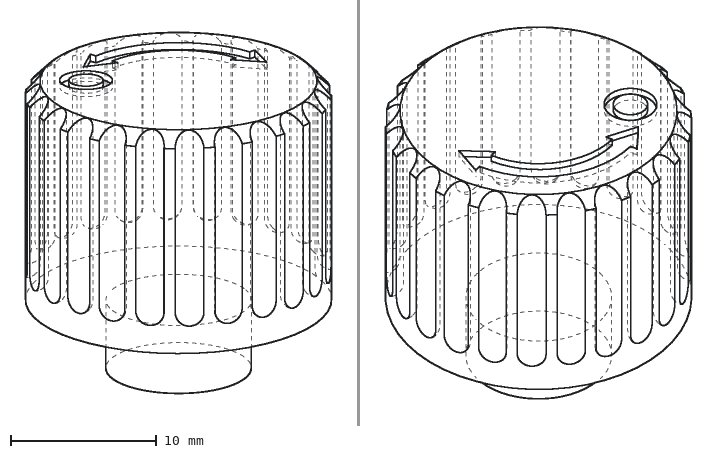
import cadquery as cq
import math

head_diameter = 21.0
total_height = 21.0
shaft_diameter = 10.0
shaft_length = 5.0
rim_chamfer = 1.0

flute_count = 24
flute_radius = 0.99
flute_floor_height = 2.0

engraving_depth = 0.5
arrow_mid_radius = 6.75
arrow_band_width = 1.5
arrow_head_width = 2.5
ring_center = (-4.91, -4.01)
ring_outer_radius = 1.8
ring_inner_radius = 1.18

head_radius = head_diameter / 2
head_height = total_height - shaft_length
engraving_floor = total_height - engraving_depth


def make_body():
    """Shaft standing on Z = 0 with the chamfered cylindrical head above it."""
    shaft = cq.Workplane("XY").circle(shaft_diameter / 2).extrude(shaft_length)
    head = (
        cq.Workplane("XY", origin=(0, 0, shaft_length))
        .circle(head_radius)
        .extrude(head_height)
        .faces(">Z")
        .chamfer(rim_chamfer)
    )
    return shaft.union(head)


def make_flute():
    """Round-bottomed cutter centred on the head surface at +X, open at the top."""
    end_center = (head_radius, 0, shaft_length + flute_floor_height + flute_radius)
    groove = (
        cq.Workplane("XY", origin=end_center)
        .circle(flute_radius)
        .extrude(total_height - end_center[2])
    )
    rounded_end = cq.Workplane("XY", origin=end_center).sphere(flute_radius)
    return groove.union(rounded_end)


def make_double_arrow():
    """Quarter-turn band about the axis with an equilateral head at each end."""
    band_outer = arrow_mid_radius + arrow_band_width / 2
    band_inner = arrow_mid_radius - arrow_band_width / 2
    barb_outer = arrow_mid_radius + arrow_head_width / 2
    barb_inner = arrow_mid_radius - arrow_head_width / 2
    tip_length = arrow_head_width * math.sqrt(3) / 2
    diagonal = math.sqrt(0.5)
    return (
        cq.Workplane("XY", origin=(0, 0, engraving_floor))
        .moveTo(-band_outer, 0)
        .threePointArc((-band_outer * diagonal, band_outer * diagonal), (0, band_outer))
        .lineTo(0, barb_outer)
        .lineTo(tip_length, arrow_mid_radius)
        .lineTo(0, barb_inner)
        .lineTo(0, band_inner)
        .threePointArc((-band_inner * diagonal, band_inner * diagonal), (-band_inner, 0))
        .lineTo(-barb_inner, 0)
        .lineTo(-arrow_mid_radius, -tip_length)
        .lineTo(-barb_outer, 0)
        .close()
        .extrude(engraving_depth)
    )


def make_ring():
    """Ring-shaped groove that leaves a round island flush with the top face."""
    return (
        cq.Workplane("XY", origin=(0, 0, engraving_floor))
        .center(*ring_center)
        .circle(ring_outer_radius)
        .circle(ring_inner_radius)
        .extrude(engraving_depth)
    )


result = make_body()
flute = make_flute()
for index in range(flute_count):
    result = result.cut(flute.rotate((0, 0, 0), (0, 0, 1), 360 / flute_count * index))
result = result.cut(make_double_arrow()).cut(make_ring())